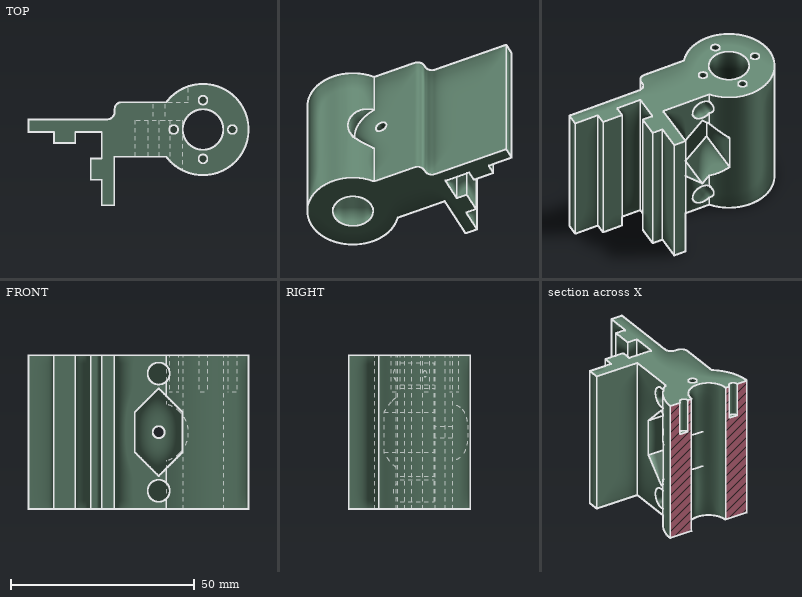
import cadquery as cq

LENGTH = 60.2
DEPTH = 33.25
HEIGHT = 42.0

BARREL_DIAMETER = 25.0
BORE_DIAMETER = 11.0
PILOT_DIAMETER = 2.4
PILOT_CIRCLE_RADIUS = 8.0
PILOT_DEPTH = 10.0
PILOT_COUNT = 4

NECK_THICKNESS = 15.0
NECK_FILLET = 2.0

LEG_LENGTH = 23.55
LEG_THICKNESS = 3.5
RIB_WIDTH = 5.9
RIB_HEIGHT = 3.0
RIB_END_MARGIN = 7.0

CLAMP_AXIS_INSET = 12.1
CLAMP_HOLE_DIAMETER = 3.2
SPOTFACE_DIAMETER = 16.0
BLIND_HOLE_DIAMETER = 6.0
BLIND_HOLE_SPACING = 32.0
POCKET_WIDTH = 13.0
POCKET_HEIGHT = 23.95
POCKET_SIDE_HEIGHT = 10.95
FRONT_CUT_DEPTH = 10.0

barrel_radius = BARREL_DIAMETER / 2
x_left = barrel_radius - LENGTH
y_front = barrel_radius - DEPTH
x_corner = x_left + LEG_LENGTH
y_corner = y_front + LEG_LENGTH
neck_half = NECK_THICKNESS / 2
clamp_x = -CLAMP_AXIS_INSET
mid_z = HEIGHT / 2
front_cut_length = barrel_radius - neck_half + FRONT_CUT_DEPTH


def block(x_min, x_max, y_min, y_max):
    """Full-height block between two X and two Y limits."""
    return (
        cq.Workplane("XY")
        .box(x_max - x_min, y_max - y_min, HEIGHT, centered=False)
        .translate((x_min, y_min, 0))
    )


def clamp_plane(y):
    """Plane at the given Y, centred on the clamp axis, with its normal along -Y."""
    return cq.Workplane("XZ", origin=(clamp_x, y, mid_z))


def make_neck_and_legs():
    """Neck plus the two legs, with the step between leg and neck rounded."""
    x_inner = x_corner - LEG_THICKNESS
    y_inner = y_corner - LEG_THICKNESS
    outline = [
        (x_left, y_corner),
        (x_corner, y_corner),
        (x_corner, neck_half),
        (0, neck_half),
        (0, -neck_half),
        (x_corner, -neck_half),
        (x_corner, y_front),
        (x_inner, y_front),
        (x_inner, y_inner),
        (x_left, y_inner),
    ]
    body = cq.Workplane("XY").polyline(outline).close().extrude(HEIGHT)
    for y_edge in (y_corner, neck_half):
        nearest_edge = cq.selectors.NearestToPointSelector((x_corner, y_edge, mid_z))
        body = body.edges(nearest_edge).fillet(NECK_FILLET)

    rib_x = x_left + RIB_END_MARGIN
    rib_y = y_front + RIB_END_MARGIN
    back_leg_rib = block(rib_x, rib_x + RIB_WIDTH, y_inner - RIB_HEIGHT, y_inner)
    front_leg_rib = block(x_inner - RIB_HEIGHT, x_inner, rib_y, rib_y + RIB_WIDTH)
    return body.union(back_leg_rib).union(front_leg_rib)


def make_barrel():
    """Full-height cylinder at the end of the neck."""
    return cq.Workplane("XY").circle(barrel_radius).extrude(HEIGHT)


def make_bore():
    """Through bore along the barrel axis."""
    return cq.Workplane("XY").circle(BORE_DIAMETER / 2).extrude(HEIGHT)


def make_pilot_holes():
    """Blind holes in the top face, evenly spaced around the bore."""
    return (
        cq.Workplane("XY", origin=(0, 0, HEIGHT))
        .polarArray(PILOT_CIRCLE_RADIUS, 0, 360, PILOT_COUNT)
        .circle(PILOT_DIAMETER / 2)
        .extrude(-PILOT_DEPTH)
    )


def make_clamp_hole():
    """Through hole across the neck, from the spotface to the pocket floor."""
    return clamp_plane(barrel_radius).circle(CLAMP_HOLE_DIAMETER / 2).extrude(BARREL_DIAMETER)


def make_spotface():
    """Round relief that carries the flat back of the neck into the barrel."""
    return clamp_plane(neck_half).circle(SPOTFACE_DIAMETER / 2).extrude(neck_half - barrel_radius)


def make_pocket():
    """Pointed six-sided pocket in the front of the neck, cutting into the barrel too."""
    half_width = POCKET_WIDTH / 2
    half_side = POCKET_SIDE_HEIGHT / 2
    tip = POCKET_HEIGHT / 2
    outline = [
        (0, tip),
        (half_width, half_side),
        (half_width, -half_side),
        (0, -tip),
        (-half_width, -half_side),
        (-half_width, half_side),
    ]
    return (
        clamp_plane(-barrel_radius)
        .polyline(outline)
        .close()
        .extrude(-front_cut_length)
    )


def make_blind_holes():
    """Pair of blind holes above and below the pocket."""
    return (
        clamp_plane(-barrel_radius)
        .rarray(0.6, BLIND_HOLE_SPACING, 1, 2)
        .circle(BLIND_HOLE_DIAMETER / 2)
        .extrude(-front_cut_length)
    )


result = (
    make_neck_and_legs()
    .union(make_barrel())
    .cut(make_bore())
    .cut(make_pilot_holes())
    .cut(make_clamp_hole())
    .cut(make_spotface())
    .cut(make_pocket())
    .cut(make_blind_holes())
)